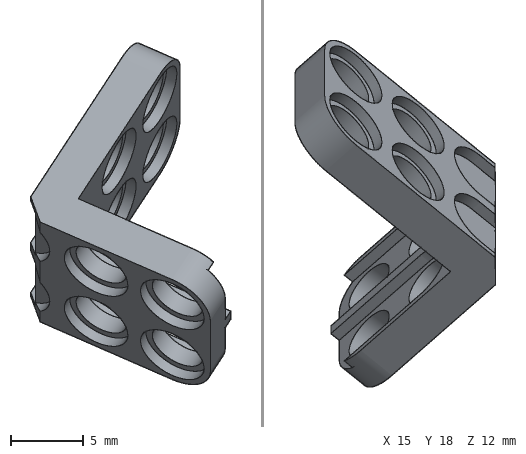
import cadquery as cq

pitch = 6.0
thickness = pitch / 2
holes_x = 2
holes_y = 2
rows = 2
edge = pitch / 2
end_radius = edge

length_x = holes_x * pitch + edge
length_y = holes_y * pitch + edge + thickness
height = rows * pitch

hole_radius = 2.0
counterbore_radius = 2.5
counterbore_depth = 0.8
slot_width = 2 * counterbore_radius
inner_floor = thickness - counterbore_depth
corner_recess_radius = 2.35
corner_chamfer = 2 * counterbore_depth

row_heights = [edge + row * pitch for row in range(rows)]
columns_x = [pitch * (column + 1) for column in range(holes_x)]
columns_y = [thickness + pitch * (column + 1) for column in range(holes_y)]
corner_slot_y = thickness


def cylinder_along_x(radius, x, y, z, depth):
    return cq.Workplane("XY").add(
        cq.Solid.makeCylinder(radius, depth, cq.Vector(x, y, z), cq.Vector(1, 0, 0))
    )


def cylinder_along_y(radius, x, y, z, depth):
    return cq.Workplane("XY").add(
        cq.Solid.makeCylinder(radius, depth, cq.Vector(x, y, z), cq.Vector(0, 1, 0))
    )


def block(x, y, z, size_x, size_y, size_z):
    return cq.Workplane("XY").box(size_x, size_y, size_z, centered=False).translate((x, y, z))


def make_bracket():
    """L-shaped body with a bevelled outer corner and rounded leg ends."""
    leg_x = block(0, 0, 0, length_x, thickness, height).edges("|Y and >X").fillet(end_radius)
    leg_y = block(0, 0, 0, thickness, length_y, height).edges("|X and >Y").fillet(end_radius)
    bevel = (
        cq.Workplane("XY")
        .polyline([(0, 0), (corner_chamfer, 0), (0, corner_chamfer)])
        .close()
        .extrude(height)
    )
    return leg_x.union(leg_y).cut(bevel)


def cut_holes(body):
    """Through holes, counterbored on both faces of each leg."""
    for z in row_heights:
        for x in columns_x:
            body = body.cut(cylinder_along_y(hole_radius, x, 0, z, thickness))
            body = body.cut(cylinder_along_y(counterbore_radius, x, 0, z, counterbore_depth))
            body = body.cut(cylinder_along_y(counterbore_radius, x, inner_floor, z, counterbore_depth))
        for y in columns_y:
            body = body.cut(cylinder_along_x(hole_radius, 0, y, z, thickness))
            body = body.cut(cylinder_along_x(counterbore_radius, 0, y, z, counterbore_depth))
            body = body.cut(cylinder_along_x(counterbore_radius, inner_floor, y, z, counterbore_depth))
    return body


def cut_corner_recesses(body):
    """Blind recesses at the bevelled corner: a slot on the -X face, a round one on the -Y face."""
    for z in row_heights:
        slot_bottom = z - counterbore_radius
        body = body.cut(cylinder_along_x(counterbore_radius, 0, corner_slot_y, z, counterbore_depth))
        body = body.cut(block(0, 0, slot_bottom, counterbore_depth, corner_slot_y, slot_width))
        body = body.cut(cylinder_along_y(corner_recess_radius, 0, 0, z, counterbore_depth))
    return body


def cut_inner_troughs(body):
    """Troughs joining each row of inner counterbores on the X leg, open at the +X end."""
    start_x = columns_x[0]
    for z in row_heights:
        trough_bottom = z - counterbore_radius
        body = body.cut(
            block(start_x, inner_floor, trough_bottom, length_x - start_x, counterbore_depth, slot_width)
        )
    return body


bracket = make_bracket()
bracket = cut_holes(bracket)
bracket = cut_corner_recesses(bracket)
result = cut_inner_troughs(bracket)